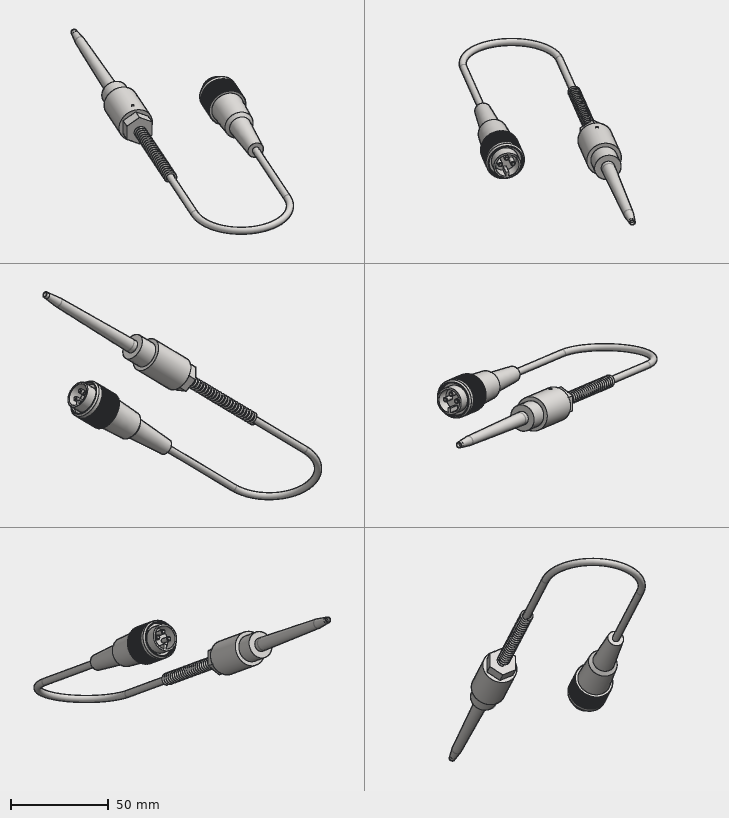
import cadquery as cq
import math

overall_length = 219.7
overall_width = 69.0
housing_diameter = 18.0
ring_diameter = 20.0
cable_diameter = 3.7
plug_y = overall_width - (housing_diameter + ring_diameter) / 2
bend_radius = plug_y / 2

probe_tip_x = 0
probe_cone_end_x = 9.9
probe_taper_end_x = 62.5
housing_front_x = 65.0
housing_shoulder_x = 75.0
housing_back_x = 98.9
nut_back_x = 104.8
bend_start_x = overall_length - cable_diameter / 2 - bend_radius

shell_front_x = 77.1
ring_front_x = 81.5
knurl_start_x = 84.8
ring_back_x = 97.5
grip_end_x = 115.8
boot_start_x = 117.5
boot_end_x = 142.5

probe_tip_diameter = 3.0
probe_tip_bore = 2.5
probe_tip_bore_depth = 2.2
probe_cone_diameter = 5.0
probe_diameter = 7.0
probe_socket_depth = 4.5

housing_front_diameter = 13.8
set_hole_diameter = 1.5
set_hole_depth = 2.2
set_hole_x = 94.0

nut_across_flats = 13.6

spring_wire = 1.0
spring_diameter = 6.4
spring_pitch = 2.0
spring_turns = 25

shell_diameter = 14.0
shell_bore = 12.0
shell_bore_depth = 7.0
pin_diameter = 2.5
pin_chamfer = 0.5
pin_circle_radius = 3.3
pin_recess = 1.3
pin_angles = (0, 90, 180)
key_width = 1.5
key_height = 2.5

ring_chamfer = 0.9
ring_recess_diameter = 17.1
ring_recess_depth = 2.0
tooth_count = 90
tooth_height = 0.2

grip_front_diameter = 17.1
grip_back_diameter = 15.2
boot_front_diameter = 11.5
boot_back_diameter = 8.4
cable_seat_depth = 6.5


def rod(diameter, start_x, end_x, y=0, z=0):
    """Cylinder along X between two stations."""
    return (
        cq.Workplane("YZ", origin=(start_x, y, z))
        .circle(diameter / 2)
        .extrude(end_x - start_x)
    )


def turned(profile, y=0):
    """Solid of revolution about an X-parallel axis from (x, diameter) stations."""
    points = [(x, diameter / 2) for x, diameter in profile]
    outline = [(profile[0][0], 0), *points, (profile[-1][0], 0)]
    return (
        cq.Workplane("XY")
        .polyline(outline)
        .close()
        .revolve(360, (0, 0, 0), (1, 0, 0))
        .translate((0, y, 0))
    )


def make_probe():
    """Tapered tube with a conical nose, plugged into the housing."""
    body = turned([
        (probe_tip_x, probe_tip_diameter),
        (probe_cone_end_x, probe_cone_diameter),
        (probe_taper_end_x, probe_diameter),
        (housing_front_x + probe_socket_depth, probe_diameter),
    ])
    return body.cut(rod(probe_tip_bore, probe_tip_x, probe_tip_x + probe_tip_bore_depth))


def make_housing():
    """Stepped round handle with a probe socket and a small radial hole in its top."""
    body = turned([
        (housing_front_x, housing_front_diameter),
        (housing_shoulder_x, housing_front_diameter),
        (housing_shoulder_x, housing_diameter),
        (housing_back_x, housing_diameter),
    ])
    socket = rod(probe_diameter, housing_front_x, housing_front_x + probe_socket_depth)
    set_hole = (
        cq.Workplane("XY", origin=(set_hole_x, 0, housing_diameter / 2 - set_hole_depth))
        .circle(set_hole_diameter / 2)
        .extrude(2 * set_hole_depth)
    )
    return body.cut(socket).cut(set_hole)


def make_nut():
    """Hexagonal gland nut with corners up and down, bored for the cable."""
    across_corners = nut_across_flats / math.cos(math.pi / 6)
    return (
        cq.Workplane("YZ", origin=(housing_back_x, 0, 0))
        .transformed(rotate=(0, 0, 90))
        .polygon(6, across_corners)
        .extrude(nut_back_x - housing_back_x)
        .cut(rod(cable_diameter, housing_back_x, nut_back_x))
    )


def make_spring():
    """Strain-relief coil around the cable behind the nut."""
    coil_radius = (spring_diameter - spring_wire) / 2
    first_turn_x = nut_back_x + spring_wire / 2
    helix = cq.Wire.makeHelix(
        spring_pitch, spring_pitch * spring_turns, coil_radius, lefthand=True
    )
    coil = (
        cq.Workplane("XZ", origin=(coil_radius, 0, 0))
        .circle(spring_wire / 2)
        .sweep(cq.Workplane(helix), isFrenet=True)
    )
    return coil.rotate((0, 0, 0), (0, 1, 0), 90).translate((first_turn_x, 0, 0))


def make_cable():
    """U-shaped cable from the back of the housing to the seat in the plug boot."""
    path = (
        cq.Workplane("XY")
        .moveTo(housing_back_x, 0)
        .lineTo(bend_start_x, 0)
        .threePointArc((bend_start_x + bend_radius, bend_radius), (bend_start_x, plug_y))
        .lineTo(boot_end_x - cable_seat_depth, plug_y)
    )
    return (
        cq.Workplane("YZ", origin=(housing_back_x, 0, 0))
        .circle(cable_diameter / 2)
        .sweep(path)
    )


def make_shell():
    """Round plug nose: a cup with contact pins on its floor and a key rib at the bottom."""
    floor_x = shell_front_x + shell_bore_depth
    shell = rod(shell_diameter, shell_front_x, ring_back_x, plug_y)
    shell = shell.cut(rod(shell_bore, shell_front_x, floor_x, plug_y))
    for angle in pin_angles:
        pin_y = plug_y + pin_circle_radius * math.cos(math.radians(angle))
        pin_z = pin_circle_radius * math.sin(math.radians(angle))
        pin = rod(pin_diameter, shell_front_x + pin_recess, floor_x, pin_y, pin_z)
        shell = shell.union(pin.faces("<X").chamfer(pin_chamfer))
    key_top_z = key_height - shell_bore / 2
    key_bottom_z = -(shell_bore + shell_diameter) / 4
    key = cq.Workplane("XY").box(
        shell_bore_depth, key_width, key_top_z - key_bottom_z, centered=(False, True, False)
    )
    return shell.union(key.translate((shell_front_x, plug_y, key_bottom_z)))


def make_ring():
    """Coupling ring around the nose, with a band of straight knurl teeth."""
    root_diameter = ring_diameter - 2 * tooth_height
    body = turned([
        (ring_front_x, ring_diameter - 2 * ring_chamfer),
        (ring_front_x + ring_chamfer, ring_diameter),
        (knurl_start_x, ring_diameter),
        (knurl_start_x, root_diameter),
        (ring_back_x, root_diameter),
    ])
    tooth_step = 2 * math.pi / tooth_count
    outline = []
    for tooth in range(tooth_count):
        for radius, turn in ((root_diameter / 2, tooth), (ring_diameter / 2, tooth + 0.5)):
            angle = turn * tooth_step
            outline.append((radius * math.cos(angle), radius * math.sin(angle)))
    knurl = (
        cq.Workplane("YZ", origin=(knurl_start_x, 0, 0))
        .polyline(outline)
        .close()
        .extrude(ring_back_x - knurl_start_x)
    )
    ring = body.union(knurl).translate((0, plug_y, 0))
    recess = rod(ring_recess_diameter, ring_front_x, ring_front_x + ring_recess_depth, plug_y)
    bore = rod(shell_diameter, ring_front_x, ring_back_x, plug_y)
    return ring.cut(recess).cut(bore)


def make_backshell():
    """Tapered plug grip and boot, with a seat for the end of the cable."""
    body = turned(
        [
            (ring_back_x, grip_front_diameter),
            (grip_end_x, grip_back_diameter),
            (boot_start_x, boot_front_diameter),
            (boot_end_x, boot_back_diameter),
        ],
        plug_y,
    )
    return body.cut(rod(cable_diameter, boot_end_x - cable_seat_depth, boot_end_x, plug_y))


probe = make_probe()
housing = make_housing()
nut = make_nut()
spring = make_spring()
cable = make_cable()
shell = make_shell()
ring = make_ring()
backshell = make_backshell()

result = cq.Compound.makeCompound([
    probe.val(),
    housing.val(),
    nut.val(),
    spring.val(),
    cable.val(),
    shell.val(),
    ring.val(),
    backshell.val(),
])